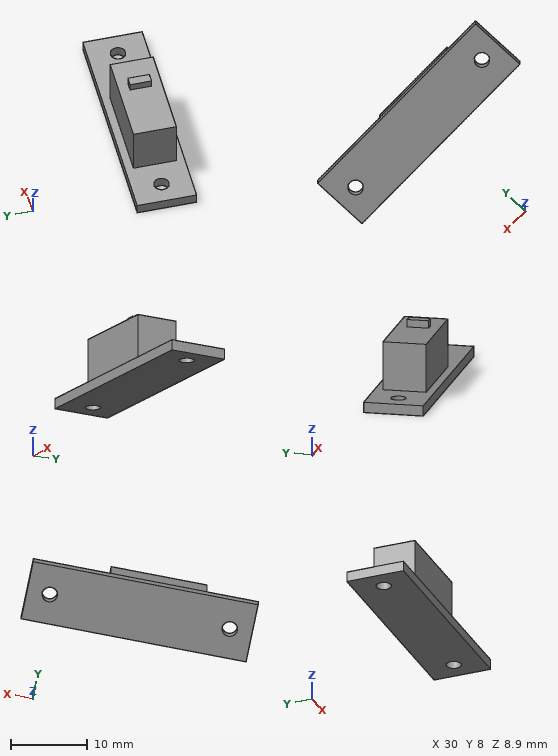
import cadquery as cq

plate_length = 30.0
plate_width = 8.0
plate_thickness = 1.4

hole_diameter = 2.0
hole_end_distance = 3.0
hole_spacing = plate_length - 2 * hole_end_distance

body_length = 12.8
body_width = 5.8
body_height = 6.5
body_center_x = -2.0

slider_length = 1.2
slider_width = 2.9
slider_height = 1.0
slider_center_x = 0.0


def block(length, width, height, center_x, base_z):
    """Box centred on Y = 0, standing on the height base_z."""
    return (
        cq.Workplane("XY")
        .box(length, width, height, centered=(True, True, False))
        .translate((center_x, 0, base_z))
    )


def mounting_plate():
    """Flat plate with a through hole near each end."""
    return (
        block(plate_length, plate_width, plate_thickness, 0, 0)
        .faces(">Z")
        .workplane()
        .rarray(hole_spacing, 1, 2, 1)
        .hole(hole_diameter)
    )


body_top = plate_thickness + body_height
body = block(body_length, body_width, body_height, body_center_x, plate_thickness)
slider = block(slider_length, slider_width, slider_height, slider_center_x, body_top)

result = mounting_plate().union(body).union(slider)